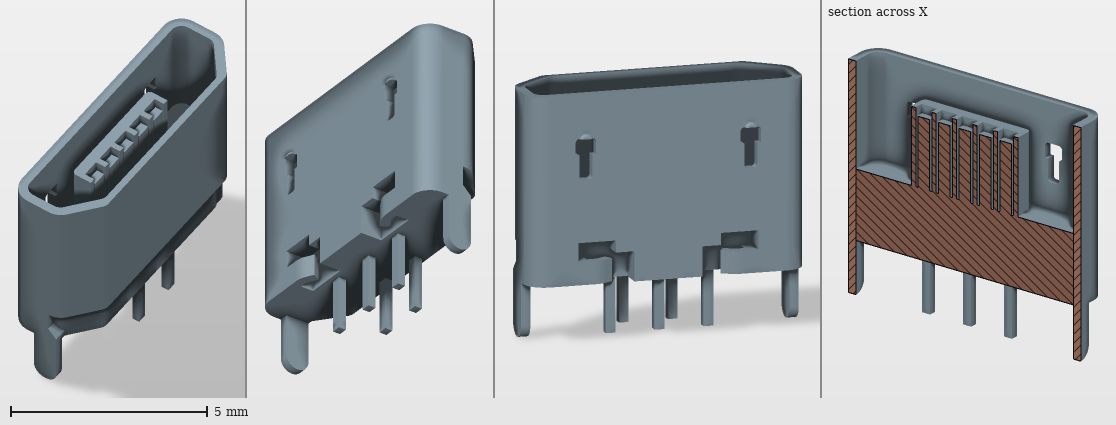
import cadquery as cq
import math

PIN_PITCH = 0.65

SHELL_LENGTH = 7.4
SHELL_HEIGHT = 4.995
SHELL_DEPTH = 2.295
WALL = 0.25
NOSE_WALL = 0.185
CORNER_RADIUS = 0.55
NOSE_RADIUS = 0.28
OUTER_SHOULDER_X = 1.47
INNER_SHOULDER_X = 1.34
TAPER_ANGLE = 51.0

RELIEF_HEIGHT = 1.01
RELIEF_X = 1.19
RELIEF_STRAIGHT_Z = 0.46

LEG_X = 0.755
LEG_WIDTH = 0.69
LEG_DROP = 1.5
LEG_RADIUS = 0.34

KEYHOLE_Y = 2.2
KEYHOLE_TOP = 3.84
KEYHOLE_HEAD_WIDTH = 0.55
KEYHOLE_HEAD_HEIGHT = 0.44
KEYHOLE_HEAD_RADIUS = 0.11
KEYHOLE_STEM_WIDTH = 0.34
KEYHOLE_HEIGHT = 1.08
KEYHOLE_STEM_RADIUS = 0.09
LIP_RADIUS = 0.19
LIP_HEIGHT = 0.1
LIP_RISE = 0.125
LIP_ROUND = 0.095

WINDOW_INNER_Y = 0.9
WINDOW_STEP_Y = 1.4
WINDOW_OUTER_Y = 2.4
WINDOW_LOW_TOP = 0.79
WINDOW_HIGH_TOP = 1.11
TAB_HEIGHT = 0.61
TAB_BEND_Y = 1.96
TAB_ANGLE = 30.0
TAB_BEND_RADIUS = 0.62
TAB_FLAT = 0.24

BASE_HEIGHT = 2.0
RECESS_FLOOR_X = 0.63
TAB_RECESS_Y = 2.1
TONGUE_BACK_X = 0.53
TONGUE_FRONT_X = 1.125
TONGUE_WIDTH = 3.405
TONGUE_TOP = 4.195
TONGUE_RADIUS = 0.14
SLOT_DEPTH = 0.29
SLOT_WIDTH = 0.495
CONTACT_WIDTH = 0.39
CONTACT_THICKNESS = 0.23
CONTACT_TOP_GAP = 0.22

PIN_COUNT = 5
PIN_WIDTH = 0.26
PIN_THICKNESS = 0.215
BACK_ROW_X = 0.78
FRONT_ROW_X = 1.77

CAVITY_RADIUS = CORNER_RADIUS - WALL


def box(x0, x1, y0, y1, z0, z1):
    """Block between two opposite corners."""
    return cq.Workplane("XY").box(x1 - x0, y1 - y0, z1 - z0, centered=False).translate((x0, y0, z0))


def plug(back_x, nose_x, half_length, shoulder_x, corner_radius, height):
    """Upright prism with the connector's tapered outline."""
    nose_y = half_length - (nose_x - shoulder_x) * math.tan(math.radians(TAPER_ANGLE))
    outline = [
        (back_x, -half_length),
        (shoulder_x, -half_length),
        (nose_x, -nose_y),
        (nose_x, nose_y),
        (shoulder_x, half_length),
        (back_x, half_length),
    ]
    prism = cq.Workplane("XY").polyline(outline).close().extrude(height)
    prism = prism.edges("|Z").edges("<Y or >Y").fillet(corner_radius)
    return prism.edges("|Z").edges(">X").fillet(NOSE_RADIUS)


def cavity(height):
    """Inside of the shell, from the lower rim up to the given height."""
    nose_x = SHELL_DEPTH - NOSE_WALL
    return plug(WALL, nose_x, SHELL_LENGTH / 2 - WALL, INNER_SHOULDER_X, CAVITY_RADIUS, height)


def with_mirror(feature):
    """The feature together with its mirror image across the XZ plane."""
    return feature.union(feature.mirror("XZ"))


def nose_relief():
    """Cutter that removes the lower part of the nose, sloping out to the legs."""
    leg_front = LEG_X + LEG_WIDTH
    slope_end_z = RELIEF_STRAIGHT_Z - (leg_front - RELIEF_X)
    profile = [
        (RELIEF_X, RELIEF_HEIGHT),
        (RELIEF_X, RELIEF_STRAIGHT_Z),
        (leg_front, slope_end_z),
        (leg_front, 0),
        (SHELL_DEPTH, 0),
        (SHELL_DEPTH, RELIEF_HEIGHT),
    ]
    return cq.Workplane("XZ").polyline(profile).close().extrude(SHELL_LENGTH / 2, both=True)


def shell_legs():
    """Round-ended solder legs that continue the end walls downward."""
    half_length = SHELL_LENGTH / 2
    leg = box(LEG_X, LEG_X + LEG_WIDTH, half_length - WALL, half_length, -LEG_DROP, RELIEF_STRAIGHT_Z)
    return leg.edges("|Y and <Z").fillet(LEG_RADIUS)


def keyhole():
    """Cutter for one keyhole slot."""
    half_head = KEYHOLE_HEAD_WIDTH / 2
    half_stem = KEYHOLE_STEM_WIDTH / 2
    head = box(0, WALL, KEYHOLE_Y - half_head, KEYHOLE_Y + half_head,
               KEYHOLE_TOP - KEYHOLE_HEAD_HEIGHT, KEYHOLE_TOP)
    head = head.edges("|X and >Z").fillet(KEYHOLE_HEAD_RADIUS)
    stem = box(0, WALL, KEYHOLE_Y - half_stem, KEYHOLE_Y + half_stem,
               KEYHOLE_TOP - KEYHOLE_HEIGHT, KEYHOLE_TOP)
    stem = stem.edges("|X and <Z").fillet(KEYHOLE_STEM_RADIUS)
    return head.union(stem)


def keyhole_lip():
    """Rounded lip above one keyhole, a disc cut off level with the slot's top."""
    center_z = KEYHOLE_TOP + LIP_RISE - LIP_RADIUS
    disc = (
        cq.Workplane("YZ", origin=(-LIP_HEIGHT, KEYHOLE_Y, center_z))
        .circle(LIP_RADIUS)
        .extrude(LIP_HEIGHT)
        .faces("<X")
        .edges()
        .fillet(LIP_ROUND)
    )
    above = box(-LIP_HEIGHT, 0, KEYHOLE_Y - LIP_RADIUS, KEYHOLE_Y + LIP_RADIUS,
                KEYHOLE_TOP, KEYHOLE_TOP + LIP_RISE)
    return disc.intersect(above)


def window():
    """Cutter for one stepped window, including the part of the wall the bent tab replaces."""
    low = box(0, WALL, WINDOW_INNER_Y, WINDOW_STEP_Y, 0, WINDOW_LOW_TOP)
    high = box(0, WALL, WINDOW_STEP_Y, WINDOW_OUTER_Y, TAB_HEIGHT, WINDOW_HIGH_TOP)
    behind_tab = box(0, WALL, WINDOW_STEP_Y, TAB_BEND_Y, 0, TAB_HEIGHT)
    return low.union(high).union(behind_tab)


def tab():
    """Strip of the back wall that curves inward below the window."""
    def on_bend(radius, degrees):
        turn = math.radians(degrees)
        return (TAB_BEND_RADIUS - radius * math.cos(turn), TAB_BEND_Y - radius * math.sin(turn))

    def along_flat(point):
        turn = math.radians(TAB_ANGLE)
        return (point[0] + TAB_FLAT * math.sin(turn), point[1] - TAB_FLAT * math.cos(turn))

    inner_radius = TAB_BEND_RADIUS - WALL
    outer_end = on_bend(TAB_BEND_RADIUS, TAB_ANGLE)
    inner_end = on_bend(inner_radius, TAB_ANGLE)
    return (
        cq.Workplane("XY")
        .moveTo(0, TAB_BEND_Y)
        .threePointArc(on_bend(TAB_BEND_RADIUS, TAB_ANGLE / 2), outer_end)
        .lineTo(*along_flat(outer_end))
        .lineTo(*along_flat(inner_end))
        .lineTo(*inner_end)
        .threePointArc(on_bend(inner_radius, TAB_ANGLE / 2), (WALL, TAB_BEND_Y))
        .close()
        .extrude(TAB_HEIGHT)
    )


def make_shell():
    """Metal shell with its legs, keyholes, windows and tabs."""
    tube = plug(0, SHELL_DEPTH, SHELL_LENGTH / 2, OUTER_SHOULDER_X, CORNER_RADIUS, SHELL_HEIGHT)
    tube = tube.cut(cavity(SHELL_HEIGHT)).union(with_mirror(shell_legs())).cut(nose_relief())
    tube = tube.cut(with_mirror(keyhole())).cut(with_mirror(window()))
    for feature in (keyhole_lip(), tab()):
        tube = tube.union(with_mirror(feature))
    return tube


def tab_recess():
    """Cutter in the base that clears one window and its tab."""
    high = box(WALL, RECESS_FLOOR_X, WINDOW_STEP_Y, WINDOW_OUTER_Y, TAB_HEIGHT, WINDOW_HIGH_TOP)
    step = box(WALL, RECESS_FLOOR_X, WINDOW_INNER_Y, WINDOW_STEP_Y, 0, WINDOW_LOW_TOP)
    low = box(WALL, RECESS_FLOOR_X, WINDOW_STEP_Y, TAB_RECESS_Y, 0, TAB_HEIGHT)
    return high.union(step).union(low)


def slotted_tongue(rows):
    """Upright tongue with one open slot for each contact."""
    half_width = TONGUE_WIDTH / 2
    tongue = box(TONGUE_BACK_X, TONGUE_FRONT_X, -half_width, half_width, 0, TONGUE_TOP)
    tongue = tongue.edges("|Z and <X").fillet(TONGUE_RADIUS)
    for y in rows:
        slot = box(TONGUE_FRONT_X - SLOT_DEPTH, TONGUE_FRONT_X,
                   y - SLOT_WIDTH / 2, y + SLOT_WIDTH / 2, BASE_HEIGHT, TONGUE_TOP)
        tongue = tongue.cut(slot)
    return tongue


def contact(y):
    """Contact bar standing in one tongue slot."""
    return box(TONGUE_FRONT_X - CONTACT_THICKNESS, TONGUE_FRONT_X,
               y - CONTACT_WIDTH / 2, y + CONTACT_WIDTH / 2, BASE_HEIGHT, TONGUE_TOP - CONTACT_TOP_GAP)


def solder_pin(x, y):
    """Straight pin below the base, with its back face at x."""
    return box(x, x + PIN_THICKNESS, y - PIN_WIDTH / 2, y + PIN_WIDTH / 2, -LEG_DROP, 0)


def make_insulator():
    """Base that fills the shell's lower end, with tongue, contacts and solder pins."""
    rows = [(index - (PIN_COUNT - 1) / 2) * PIN_PITCH for index in range(PIN_COUNT)]
    body = cavity(BASE_HEIGHT).union(slotted_tongue(rows)).cut(with_mirror(tab_recess()))
    for index, y in enumerate(rows):
        pin_x = BACK_ROW_X if index % 2 == 0 else FRONT_ROW_X
        body = body.union(contact(y)).union(solder_pin(pin_x, y))
    return body


shell = make_shell()
insulator = make_insulator()
result = cq.Compound.makeCompound([shell.solids().val(), insulator.solids().val()])